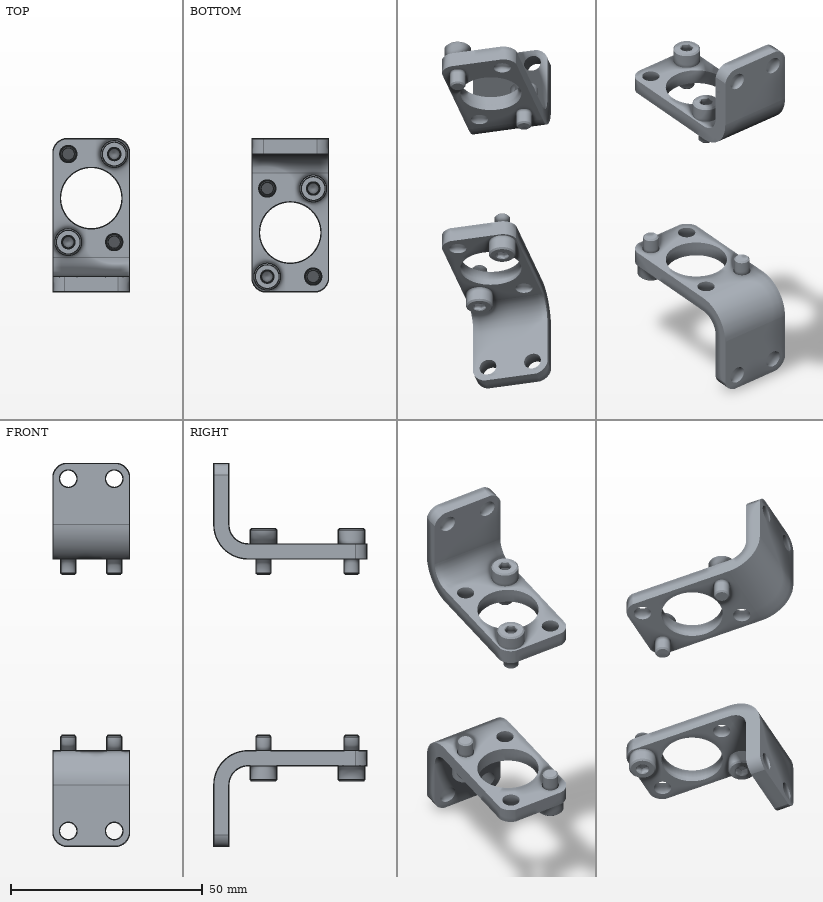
import cadquery as cq
import math

width = 20.0
length = 40.0
leg_height = 25.0
thickness = 4.0
inner_bend_radius = 5.0
outer_bend_radius = inner_bend_radius + thickness
corner_setback = 3.0
corner_radius = 4.0

screw_hole_diameter = 4.5
hole_pitch_x = 12.0
hole_pitch_y = 23.0
hole_edge_distance = 4.0
bore_diameter = 16.0

shank_diameter = 4.0
head_diameter = 7.0
head_height = 4.0
shank_protrusion = 4.0
shank_length = thickness + shank_protrusion
tip_chamfer = 0.4
head_chamfer = 0.4
socket_width = 3.0
hexagon_turn = 30.0
socket_depth = 2.0
socket_tip_depth = 0.85
socket_mouth_diameter = 3.5

total_height = 100.0
front_y = -length / 2
back_y = length / 2
leg_top_z = total_height / 2
plate_bottom_z = leg_top_z - leg_height
plate_top_z = plate_bottom_z + thickness
leg_hole_z = leg_top_z - hole_edge_distance
bore_y = back_y - hole_edge_distance - hole_pitch_y / 2


def rounded_end_blank(workplane, reach, depth):
    """Block of full width whose far end has two corners cut by shallow, non-tangent arcs."""
    half_width = width / 2
    return (
        workplane.moveTo(-half_width, 0)
        .lineTo(half_width, 0)
        .lineTo(half_width, reach - corner_setback)
        .radiusArc((half_width - corner_setback, reach), -corner_radius)
        .lineTo(corner_setback - half_width, reach)
        .radiusArc((-half_width, reach - corner_setback), -corner_radius)
        .close()
        .extrude(depth)
    )


def make_bracket():
    """Upper L bracket: flat plate with an upright leg at its -Y end."""
    blank = (
        cq.Workplane("XY")
        .box(width, length, leg_height, centered=(True, True, False))
        .translate((0, 0, plate_bottom_z))
    )
    inside = (
        cq.Workplane("XY")
        .box(width, length - thickness, leg_height - thickness, centered=(True, False, False))
        .translate((0, front_y + thickness, plate_top_z))
    )
    bracket = blank.cut(inside)

    bracket = bracket.edges("|X and <Y and <Z").fillet(outer_bend_radius)
    inner_corner = cq.selectors.NearestToPointSelector((0, front_y + thickness, plate_top_z))
    bracket = bracket.edges(inner_corner).fillet(inner_bend_radius)

    plate_outline = cq.Workplane("XY", origin=(0, front_y, plate_bottom_z))
    leg_outline = cq.Workplane("XZ", origin=(0, back_y, plate_bottom_z))
    bracket = bracket.intersect(rounded_end_blank(plate_outline, length, leg_height))
    bracket = bracket.intersect(rounded_end_blank(leg_outline, leg_height, length))

    plate = cq.Workplane("XY", origin=(0, bore_y, plate_bottom_z))
    bore = plate.circle(bore_diameter / 2).extrude(thickness)
    screw_holes = plate.rarray(hole_pitch_x, hole_pitch_y, 2, 2).circle(screw_hole_diameter / 2)
    bracket = bracket.cut(bore).cut(screw_holes.extrude(thickness))

    leg = cq.Workplane("XZ", origin=(0, front_y + thickness, leg_hole_z))
    leg_holes = leg.rarray(hole_pitch_x, 1, 2, 1).circle(screw_hole_diameter / 2)
    return bracket.cut(leg_holes.extrude(thickness))


def make_screw(x, y):
    """Socket head screw standing on the plate, shank pointing down."""
    head = (
        cq.Workplane("XY")
        .circle(head_diameter / 2)
        .extrude(head_height)
        .faces(">Z")
        .chamfer(head_chamfer)
    )
    shank = (
        cq.Workplane("XY")
        .circle(shank_diameter / 2)
        .extrude(-shank_length)
        .faces("<Z")
        .chamfer(tip_chamfer)
    )
    socket_floor_z = head_height - socket_depth
    hexagon_diameter = socket_width / math.cos(math.pi / 6)
    socket = (
        cq.Workplane("XY", origin=(0, 0, socket_floor_z))
        .transformed(rotate=(0, 0, hexagon_turn))
        .polygon(6, hexagon_diameter)
        .extrude(socket_depth)
    )
    mouth_radius = socket_mouth_diameter / 2
    down = cq.Vector(0, 0, -1)
    drill_point = cq.Solid.makeCone(
        socket_width / 2, 0, socket_tip_depth, cq.Vector(0, 0, socket_floor_z), down
    )
    countersink = cq.Solid.makeCone(mouth_radius, 0, mouth_radius, cq.Vector(0, 0, head_height), down)
    screw = head.union(shank).cut(socket)
    for cone in (drill_point, countersink):
        screw = screw.cut(cq.Workplane(cone))
    return screw.translate((x, y, plate_top_z))


upper_bodies = [make_bracket()]
for side in (-1, 1):
    upper_bodies.append(make_screw(side * hole_pitch_x / 2, bore_y + side * hole_pitch_y / 2))

lower_bodies = [body.rotate((0, 0, 0), (0, 1, 0), 180) for body in upper_bodies]

result = cq.Compound.makeCompound([body.val() for body in upper_bodies + lower_bodies])